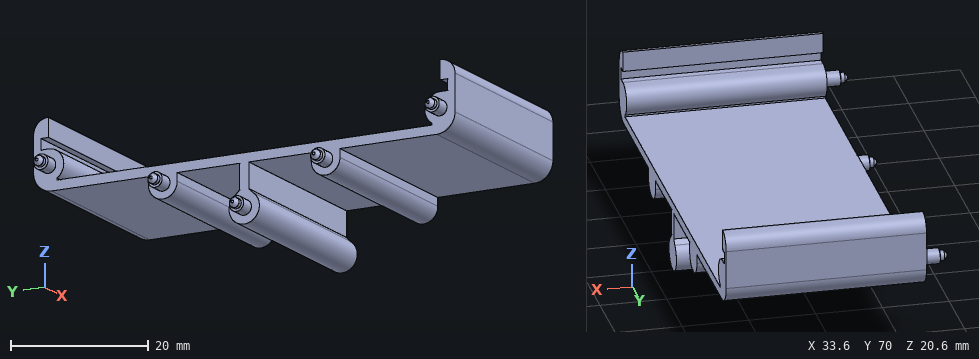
import cadquery as cq
import math

WIDTH = 70.0
LENGTH = 30.0
FLOOR = 1.55
WALL = 1.25
HEIGHT = 11.3
CORNER_RADIUS = 3.0
LIP_WIDTH = 2.5
LIP_RADIUS = 2.4
LIP_DEPTH = 3.1
BOSS_RADIUS = 2.5

WALL_BOSS_Z = 3.9
BOSS_FOOT = 1.4
LOWER_BOSS_Y = 13.5
LOWER_BOSS_Z = -1.3
LOWER_BOSS_RADIUS = 2.4
KNOB_BOTTOM = -9.3
FLARE = 0.7

PIN_DIAMETER = 2.4
PIN_LENGTH = 2.4
NOSE_DIAMETER = 1.6
NOSE_LENGTH = 0.7
TIP_DIAMETER = 0.4
TIP_LENGTH = 0.55

HALF_WIDTH = WIDTH / 2
WALL_BOSS_Y = HALF_WIDTH - LIP_WIDTH
KNOB_Z = KNOB_BOTTOM + BOSS_RADIUS


def profile_plane():
    """YZ sketch plane on the pin end of the extrusion, extruding toward +X."""
    return cq.Workplane("YZ")


def bar(y, z, radius=BOSS_RADIUS):
    """Full-length round boss centred at (y, z)."""
    return profile_plane().center(y, z).circle(radius).extrude(LENGTH)


def block(y_min, y_max, z_min, z_max):
    """Full-length rectangular bar between the given limits."""
    return (
        profile_plane()
        .moveTo(y_min, z_min)
        .lineTo(y_max, z_min)
        .lineTo(y_max, z_max)
        .lineTo(y_min, z_max)
        .close()
        .extrude(LENGTH)
    )


def half_tray():
    """Floor half and side wall on the +Y side, with the lip and the corner boss."""
    boss_top = WALL_BOSS_Z + BOSS_RADIUS
    slot_wall = HALF_WIDTH - WALL
    foot_y = WALL_BOSS_Y - BOSS_FOOT
    lip_face = HALF_WIDTH - LIP_WIDTH
    bend = math.sqrt(0.5)
    corner_mid = CORNER_RADIUS * (1 - bend)
    lip_mid = LIP_RADIUS * (1 - bend)
    wall = (
        profile_plane()
        .moveTo(0, 0)
        .lineTo(HALF_WIDTH - CORNER_RADIUS, 0)
        .threePointArc((HALF_WIDTH - corner_mid, corner_mid), (HALF_WIDTH, CORNER_RADIUS))
        .lineTo(HALF_WIDTH, HEIGHT - LIP_RADIUS)
        .threePointArc((HALF_WIDTH - lip_mid, HEIGHT - lip_mid), (HALF_WIDTH - LIP_RADIUS, HEIGHT))
        .lineTo(lip_face, HEIGHT)
        .lineTo(lip_face, HEIGHT - LIP_DEPTH)
        .lineTo(slot_wall, HEIGHT - LIP_DEPTH)
        .lineTo(slot_wall, boss_top)
        .lineTo(WALL_BOSS_Y, boss_top)
        .lineTo(WALL_BOSS_Y, WALL_BOSS_Z)
        .lineTo(foot_y, WALL_BOSS_Z)
        .lineTo(foot_y, FLOOR)
        .lineTo(0, FLOOR)
        .close()
        .extrude(LENGTH)
    )
    return wall.union(bar(WALL_BOSS_Y, WALL_BOSS_Z))


def lower_boss(y):
    """Boss under the floor, with straight sides running up into it."""
    sides = block(y - LOWER_BOSS_RADIUS, y + LOWER_BOSS_RADIUS, LOWER_BOSS_Z, FLOOR)
    return bar(y, LOWER_BOSS_Z, LOWER_BOSS_RADIUS).union(sides)


def stem_and_knob():
    """Central stem ending in a round knob, joined by a sloped flare on each side."""
    half_stem = FLOOR / 2
    flare_y = half_stem + FLARE
    flare_z = KNOB_Z + math.sqrt(BOSS_RADIUS**2 - flare_y**2)
    flare_top = flare_z + FLARE
    flare = (
        profile_plane()
        .moveTo(-flare_y, flare_z)
        .lineTo(flare_y, flare_z)
        .lineTo(half_stem, flare_top)
        .lineTo(-half_stem, flare_top)
        .close()
        .extrude(LENGTH)
    )
    stem = block(-half_stem, half_stem, KNOB_Z, FLOOR)
    return bar(0, KNOB_Z).union(stem).union(flare)


def pin(y, z):
    """Stepped pin with a blunt conical tip, standing out toward -X."""
    nose_end = PIN_LENGTH + NOSE_LENGTH
    tip_end = nose_end + TIP_LENGTH
    pin_radius = PIN_DIAMETER / 2
    nose_radius = NOSE_DIAMETER / 2
    tip_radius = TIP_DIAMETER / 2
    outline = (
        cq.Workplane("XY")
        .moveTo(0, 0)
        .lineTo(0, pin_radius)
        .lineTo(-PIN_LENGTH, pin_radius)
        .lineTo(-PIN_LENGTH, nose_radius)
        .lineTo(-nose_end, nose_radius)
        .lineTo(-tip_end, tip_radius)
        .lineTo(-tip_end, 0)
        .close()
    )
    return outline.revolve(360, (0, 0), (1, 0)).translate((0, y, z))


tray = half_tray()
body = tray.union(tray.mirror("XZ")).union(stem_and_knob())
for boss_y in (-LOWER_BOSS_Y, LOWER_BOSS_Y):
    body = body.union(lower_boss(boss_y))

pin_centres = [(0, KNOB_Z)]
for side in (-1, 1):
    pin_centres.append((side * WALL_BOSS_Y, WALL_BOSS_Z))
    pin_centres.append((side * LOWER_BOSS_Y, LOWER_BOSS_Z))
for pin_y, pin_z in pin_centres:
    body = body.union(pin(pin_y, pin_z))

result = body